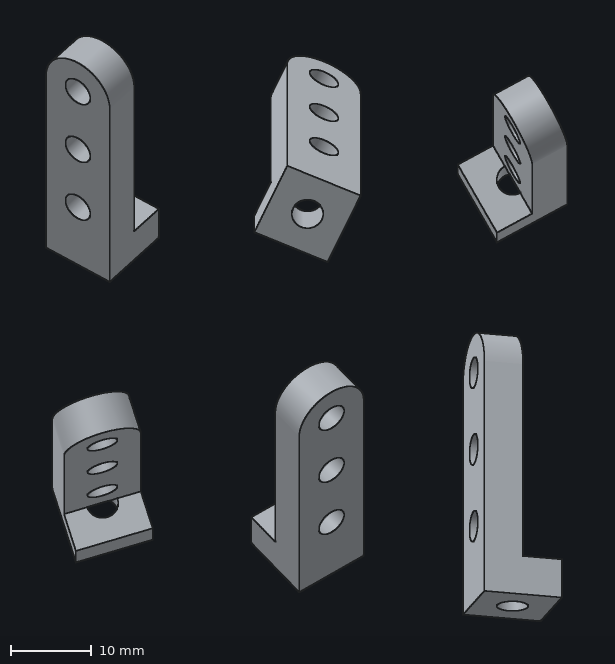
import cadquery as cq

height = 35.0
width = height / 3.5
plate_thickness = width / 2
base_height = width / 2
hole_diameter = 3.9
hole_pitch = width
hole_count = 3

end_radius = width / 2
arc_center_z = height - end_radius
front_y = -width / 2

base = cq.Workplane("XY").rect(width, width).extrude(base_height)
base = base.cut(cq.Workplane("XY").circle(hole_diameter / 2).extrude(base_height))

plate = (
    cq.Workplane("XZ", origin=(0, front_y, 0))
    .moveTo(-width / 2, base_height)
    .lineTo(width / 2, base_height)
    .lineTo(width / 2, arc_center_z)
    .threePointArc((0, height), (-width / 2, arc_center_z))
    .close()
    .extrude(-plate_thickness)
)

hole_centers = [(0, arc_center_z - i * hole_pitch) for i in range(hole_count)]
plate_holes = (
    cq.Workplane("XZ", origin=(0, front_y, 0))
    .pushPoints(hole_centers)
    .circle(hole_diameter / 2)
    .extrude(-plate_thickness)
)

result = base.union(plate.cut(plate_holes)).clean()